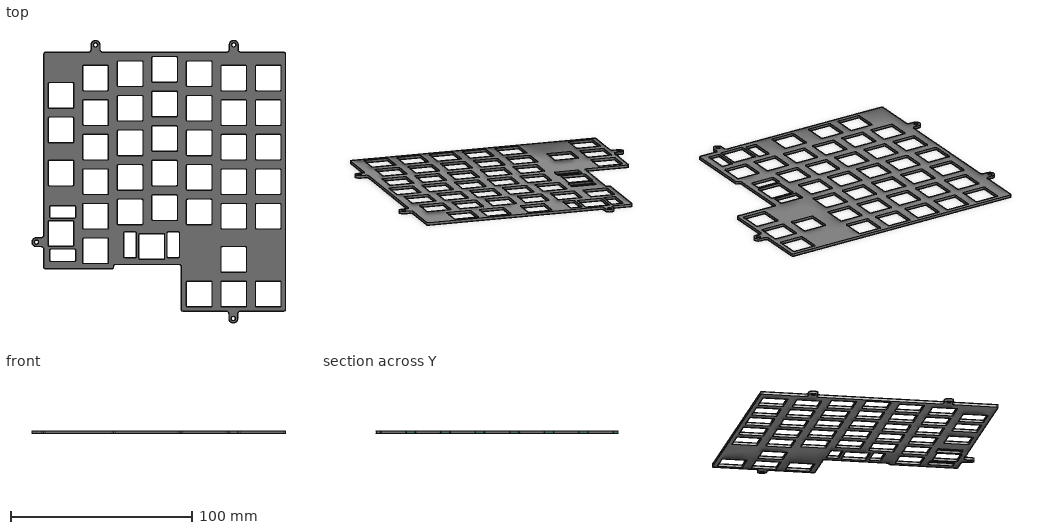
import cadquery as cq

PITCH = 19.05
THICKNESS = 1.5

LEFT = -0.5 * PITCH
RIGHT = 6.5 * PITCH
TOP = 0.5 * PITCH
BOTTOM = -7 * PITCH
STEP_MARGIN = 0.476
LEFT_BOTTOM = -5.75 * PITCH - STEP_MARGIN
MIDDLE_BOTTOM = -5.625 * PITCH - STEP_MARGIN
STEP_X = 1.5 * PITCH + STEP_MARGIN
RIGHT_BLOCK_X = 3.5 * PITCH - STEP_MARGIN
PLATE_CORNER_RADIUS = 1.0

SWITCH_SIZE = 14.0
CUTOUT_CORNER_RADIUS = 0.5
SWITCH_ROWS = {
    0: [0.75, 1.75, 3, 4.75],
    1: [0.25 + row for row in range(6)],
    2: [0.125 + row for row in range(5)],
    3: [row for row in range(5)],
    4: [0.125 + row for row in range(5)] + [6.5],
    5: [0.25 + row for row in range(5)] + [5.5, 6.5],
    6: [0.25 + row for row in range(5)] + [6.5],
}

SIDE_KEY = (0, 4.75)
THUMB_KEY = (2.625, 5.125)
SLOT_WIDTH = 6.75
SLOT_LENGTH = 14.1
SLOT_SPACING = 11.938
SLOT_SHIFT = 0.95

TAB_COLUMNS = (1, 5)
SIDE_TAB_ROW = 5
TAB_LENGTH = 6.5
TAB_WIDTH = 5.0
TAB_HOLE_DIAMETER = 2.2
TAB_FILLET = 1.5
BOTTOM_TAB_SHIFT = 0.24
TAB_ROOT = 2.0


def grid_point(column, row):
    return (column * PITCH, -row * PITCH)


def make_plate():
    return (
        cq.Workplane("XY")
        .moveTo(LEFT, TOP)
        .lineTo(RIGHT, TOP)
        .lineTo(RIGHT, BOTTOM)
        .lineTo(RIGHT_BLOCK_X, BOTTOM)
        .lineTo(RIGHT_BLOCK_X, MIDDLE_BOTTOM)
        .lineTo(STEP_X, MIDDLE_BOTTOM)
        .lineTo(STEP_X, LEFT_BOTTOM)
        .lineTo(LEFT, LEFT_BOTTOM)
        .close()
        .extrude(THICKNESS)
        .edges("|Z")
        .fillet(PLATE_CORNER_RADIUS)
    )


def rectangles(points, width, height):
    return (
        cq.Workplane("XY")
        .pushPoints(points)
        .rect(width, height)
        .extrude(THICKNESS)
        .edges("|Z")
        .fillet(CUTOUT_CORNER_RADIUS)
    )


def make_tab(base, angle):
    """Round-ended tab on an edge at `base`, pointing up before it turns by `angle`."""
    half = TAB_WIDTH / 2
    root_half = half + TAB_FILLET
    hole_y = TAB_LENGTH - half
    tab = (
        cq.Workplane("XY")
        .moveTo(-root_half, -TAB_ROOT)
        .lineTo(root_half, -TAB_ROOT)
        .lineTo(root_half, 0)
        .radiusArc((half, TAB_FILLET), TAB_FILLET)
        .lineTo(half, hole_y)
        .threePointArc((0, TAB_LENGTH), (-half, hole_y))
        .lineTo(-half, TAB_FILLET)
        .radiusArc((-root_half, 0), TAB_FILLET)
        .close()
        .extrude(THICKNESS)
    )
    hole = cq.Workplane("XY").center(0, hole_y).circle(TAB_HOLE_DIAMETER / 2).extrude(THICKNESS)
    return tab.cut(hole).rotate((0, 0, 0), (0, 0, 1), angle).translate((*base, 0))


def cut_switches(plate):
    points = [grid_point(column, row) for column, rows in SWITCH_ROWS.items() for row in rows]
    points.append(grid_point(*THUMB_KEY))
    return plate.cut(rectangles(points, SWITCH_SIZE, SWITCH_SIZE))


def cut_stabilizers(plate):
    thumb_x, thumb_y = grid_point(*THUMB_KEY)
    side_x, side_y = grid_point(*SIDE_KEY)
    thumb_slots = [(thumb_x + side * SLOT_SPACING, thumb_y + SLOT_SHIFT) for side in (-1, 1)]
    side_slots = [(side_x + SLOT_SHIFT, side_y + side * SLOT_SPACING) for side in (-1, 1)]
    plate = plate.cut(rectangles(thumb_slots, SLOT_WIDTH, SLOT_LENGTH))
    return plate.cut(rectangles(side_slots, SLOT_LENGTH, SLOT_WIDTH))


def add_tabs(plate):
    tabs = [
        make_tab((TAB_COLUMNS[0] * PITCH, TOP), 0),
        make_tab((TAB_COLUMNS[1] * PITCH, TOP), 0),
        make_tab((TAB_COLUMNS[1] * PITCH - BOTTOM_TAB_SHIFT, BOTTOM), 180),
        make_tab((LEFT, -SIDE_TAB_ROW * PITCH), 90),
    ]
    for tab in tabs:
        plate = plate.union(tab)
    return plate


result = add_tabs(cut_stabilizers(cut_switches(make_plate())))